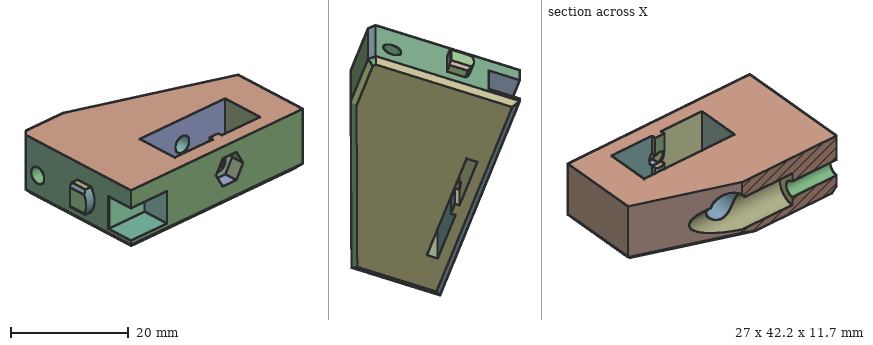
import cadquery as cq
import math

width = 27.0
body_length = 40.2
height = 11.7
taper_start_y = 9.8
back_left_x = 11.0
edge_chamfer = 1.0

screw_diameter = 3.2
head_diameter = 6.5
long_screw_x = 4.0
long_screw_z = 5.0
long_seat_y = taper_start_y
cross_screw_z = 6.65
cross_seat_x = 10.97

pocket_left = 15.35
pocket_right = 24.0
pocket_front = 13.1
pocket_length = 19.95
pocket_floor = 2.0
floor_slot_left = 22.05
rib_depth = 0.85
rib_width = 2.03
cross_screw_y = pocket_front + pocket_length / 2
nut_across_flats = 5.5
nut_depth = 2.7

notch_width = 5.53
notch_bottom = 1.85
notch_height = 6.35
notch_length = 8.45
notch_chamfer = 0.15

peg_length = 42.2 - body_length
peg_left = 13.85
peg_flat_width = 3.35
peg_bulge = 0.85
peg_bottom = 3.35
peg_height = 4.95
peg_chamfer = 0.65
peg_side_chamfer = 0.15


def box(x, y, z, size_x, size_y, size_z):
    """Box located by its lowest corner."""
    return cq.Workplane("XY").box(size_x, size_y, size_z, centered=False).translate((x, y, z))


def cylinder(diameter, length, start, direction):
    return cq.Workplane(
        cq.Solid.makeCylinder(diameter / 2, length, cq.Vector(*start), cq.Vector(*direction))
    )


def make_body():
    outline = [
        (edge_chamfer, 0),
        (width, 0),
        (width, body_length),
        (back_left_x, body_length),
        (0, taper_start_y),
        (0, edge_chamfer),
    ]
    body = cq.Workplane("XY").polyline(outline).close().extrude(height)
    return body.faces("<Z").chamfer(edge_chamfer)


def make_pocket():
    pocket_width = pocket_right - pocket_left
    pocket = box(pocket_left, pocket_front, pocket_floor, pocket_width, pocket_length, height)
    floor_slot = box(
        floor_slot_left, pocket_front, 0, pocket_right - floor_slot_left, pocket_length, height
    )
    rib = box(
        pocket_right - rib_depth, cross_screw_y - rib_width / 2, 0, rib_depth, rib_width, 2 * height
    )
    return pocket.union(floor_slot).cut(rib)


def make_long_screw_hole():
    """Screw hole along Y, its head bore entering through the tapered side."""
    shank = cylinder(screw_diameter, body_length, (long_screw_x, 0, long_screw_z), (0, 1, 0))
    head = cylinder(
        head_diameter, body_length, (long_screw_x, long_seat_y, long_screw_z), (0, 1, 0)
    )
    return shank.union(head)


def make_cross_screw_hole():
    """Screw hole along X, counterbored from the tapered side, with a hex nut recess."""
    shank = cylinder(screw_diameter, width, (0, cross_screw_y, cross_screw_z), (1, 0, 0))
    head = cylinder(head_diameter, cross_seat_x, (0, cross_screw_y, cross_screw_z), (1, 0, 0))
    nut = (
        cq.Workplane("YZ", origin=(width - nut_depth, cross_screw_y, cross_screw_z))
        .polygon(6, nut_across_flats / math.cos(math.pi / 6))
        .extrude(nut_depth)
    )
    return shank.union(head).union(nut)


def make_notch():
    """Corner notch with a small lead-in chamfer along its inner side."""
    notch_left = width - notch_width
    outline = [
        (notch_left - notch_chamfer, 0),
        (width, 0),
        (width, notch_length),
        (notch_left, notch_length),
        (notch_left, notch_chamfer),
    ]
    notch = cq.Workplane("XY").polyline(outline).close().extrude(notch_height)
    return notch.translate((0, 0, notch_bottom))


def make_peg():
    """Peg with a bulged right side and chamfered straight front edges."""
    peg_top = peg_bottom + peg_height
    flat_right = peg_left + peg_flat_width
    peg = (
        cq.Workplane("XZ")
        .moveTo(peg_left, peg_bottom)
        .lineTo(flat_right, peg_bottom)
        .threePointArc(
            (flat_right + peg_bulge, peg_bottom + peg_height / 2), (flat_right, peg_top)
        )
        .lineTo(peg_left, peg_top)
        .close()
        .extrude(peg_length)
    )
    side_profile = [
        (0, peg_bottom),
        (0, peg_top),
        (peg_chamfer - peg_length, peg_top),
        (-peg_length, peg_top - peg_chamfer),
        (-peg_length, peg_bottom + peg_chamfer),
        (peg_chamfer - peg_length, peg_bottom),
    ]
    envelope = cq.Workplane("YZ").polyline(side_profile).close().extrude(width)
    return peg.intersect(envelope).faces("<Y").edges("<X").chamfer(peg_side_chamfer)


result = (
    make_body()
    .cut(make_pocket())
    .cut(make_long_screw_hole())
    .cut(make_cross_screw_hole())
    .cut(make_notch())
    .union(make_peg())
)